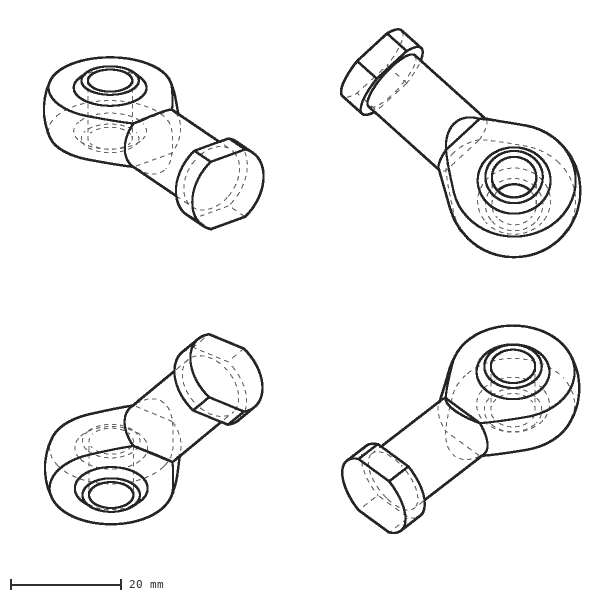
import cadquery as cq
import math

total_length = 48.0
head_radius = 12.0
head_thickness = 9.0
ring_base_radius = 6.6
ring_face_radius = 5.2
ring_width = 12.0
bore_diameter = 8.0
shank_diameter = 12.5
collar_diameter = 16.0
collar_length = 5.0
collar_across_flats = 14.0
neck_end = 25.0
ramp_length = 2.05

head_x = head_radius
shank_radius = shank_diameter / 2
half_thickness = head_thickness / 2
collar_start = total_length - collar_length

neck_run = neck_end - head_x
neck_distance = math.hypot(neck_run, shank_radius)
tangent_angle = math.atan2(shank_radius, neck_run) + math.acos(head_radius / neck_distance)
tangent_x = head_x + head_radius * math.cos(tangent_angle)
tangent_radius = head_radius * math.sin(tangent_angle)
arc_middle_angle = (math.pi + tangent_angle) / 2
arc_middle = (
    head_x + head_radius * math.cos(arc_middle_angle),
    head_radius * math.sin(arc_middle_angle),
)


def make_body():
    """Head sphere, neck cone and shank revolved about the X axis."""
    return (
        cq.Workplane("XY")
        .moveTo(0, 0)
        .threePointArc(arc_middle, (tangent_x, tangent_radius))
        .lineTo(neck_end, shank_radius)
        .lineTo(total_length, shank_radius)
        .lineTo(total_length, 0)
        .close()
        .revolve(360, (0, 0, 0), (1, 0, 0))
    )


def make_side_envelope():
    """Side outline that flattens the eye and ramps out to the shank surface."""
    ramp_end = neck_end + ramp_length
    return (
        cq.Workplane("XZ")
        .moveTo(0, half_thickness)
        .lineTo(neck_end, half_thickness)
        .lineTo(ramp_end, shank_radius)
        .lineTo(total_length, shank_radius)
        .lineTo(total_length, -shank_radius)
        .lineTo(ramp_end, -shank_radius)
        .lineTo(neck_end, -half_thickness)
        .lineTo(0, -half_thickness)
        .close()
        .extrude(head_radius, both=True)
    )


def make_collar():
    """Round end collar with two wrench flats facing up and down."""
    collar = (
        cq.Workplane("YZ", origin=(collar_start, 0, 0))
        .circle(collar_diameter / 2)
        .extrude(collar_length)
    )
    flats = cq.Workplane("XY").box(2 * total_length, collar_diameter, collar_across_flats)
    return collar.intersect(flats)


def make_inner_ring():
    """Bearing ring whose conical shoulders stand out above and below the eye."""
    half_width = ring_width / 2
    return (
        cq.Workplane("XZ", origin=(head_x, 0, 0))
        .moveTo(0, -half_width)
        .lineTo(ring_face_radius, -half_width)
        .lineTo(ring_base_radius, -half_thickness)
        .lineTo(ring_base_radius, half_thickness)
        .lineTo(ring_face_radius, half_width)
        .lineTo(0, half_width)
        .close()
        .revolve(360, (0, 0, 0), (0, 1, 0))
    )


def make_bore():
    """Through hole in the bearing ring."""
    return (
        cq.Workplane("XY", origin=(head_x, 0, 0))
        .circle(bore_diameter / 2)
        .extrude(ring_width, both=True)
    )


rod_end = make_body().intersect(make_side_envelope())
result = rod_end.union(make_collar()).union(make_inner_ring()).cut(make_bore())